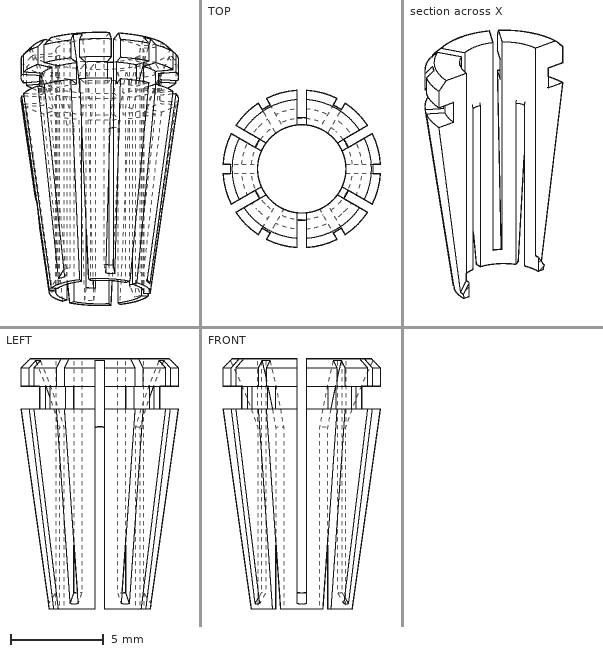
import cadquery as cq
import math


total_height = 13.5
flange_radius = 4.25
flange_height = 1.5
flange_chamfer = 0.5
neck_radius = 3.25
neck_height = 1.2
taper_angle = 8.0
bore_radius = 2.38

slots_per_ring = 6
slot_width = 0.5
slot_pitch = 360.0 / slots_per_ring
blade_radius = 27.0
top_slot_end_height = 0.88
top_slot_end_slope = 57.0
bottom_slot_end_height = 9.83
bottom_slot_end_slope = 71.8

clearance = 0.68

flange_base = total_height - flange_height
taper_height = flange_base - neck_height
nose_radius = flange_radius - taper_height * math.tan(math.radians(taper_angle))


def make_body():
    """Revolve the half section, bore included, about the Z axis."""
    section = [
        (bore_radius, 0),
        (nose_radius, 0),
        (flange_radius, taper_height),
        (neck_radius, taper_height),
        (neck_radius, flange_base),
        (flange_radius, flange_base),
        (flange_radius, total_height - flange_chamfer),
        (flange_radius - flange_chamfer, total_height),
        (bore_radius, total_height),
    ]
    return cq.Workplane("XZ").polyline(section).close().revolve(360, (0, 0), (0, 1))


def make_slot(end_height, end_slope, open_height):
    """Slot along +X, from its curved end wall to open_height.

    The end wall is an arc of the saw blade through end_height at the bore. It
    moves away from mid-height as it nears the outside: up when the slot opens
    downwards, down when it opens upwards.
    """
    direction = math.copysign(1, end_height - open_height)
    slope = math.radians(end_slope)
    blade_x = bore_radius + blade_radius * math.sin(slope)
    blade_z = end_height - direction * blade_radius * math.cos(slope)

    def wall_point(radius):
        rise = math.sqrt(blade_radius**2 - (radius - blade_x) ** 2)
        return (radius, blade_z + direction * rise)

    inner_radius = bore_radius - clearance
    outer_radius = flange_radius + clearance
    profile = (
        cq.Workplane("XZ")
        .moveTo(inner_radius, open_height)
        .lineTo(outer_radius, open_height)
        .lineTo(*wall_point(outer_radius))
        .threePointArc(wall_point(bore_radius), wall_point(inner_radius))
        .close()
    )
    return profile.extrude(slot_width / 2, both=True)


top_slot = make_slot(top_slot_end_height, top_slot_end_slope, total_height + clearance)
bottom_slot = make_slot(bottom_slot_end_height, bottom_slot_end_slope, -clearance)

result = make_body()
for index in range(slots_per_ring):
    angle = index * slot_pitch
    result = result.cut(bottom_slot.rotate((0, 0, 0), (0, 0, 1), angle))
    result = result.cut(top_slot.rotate((0, 0, 0), (0, 0, 1), angle + slot_pitch / 2))